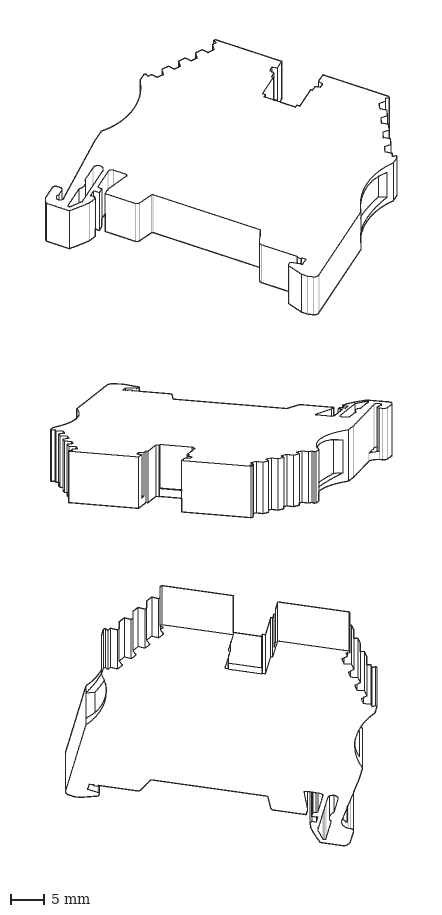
import cadquery as cq
import math

THICKNESS = 8.0
WEB_THICKNESS = 1.25
TOP_Y = 36.9

SHOULDER_HALF_WIDTH = 21.0
RIDGE_START = (14.35, 35.75)
RIDGE_SLOPE = math.radians(60)
TOOTH_COUNT = 4
TOOTH_PITCH = 3.1
TOOTH_DEPTH = 1.0
TOOTH_CREST = 1.2
TOOTH_FLANK = 0.4
END_CREST = 0.65
LIP_CORNER = (14.6, 36.6)
LIP_TOP_X = 14.35
SHOULDER_NICK = (20.75, 25.85)
SHOULDER_Y = 25.65

GRIP_X = 29.7
GRIP_Y = 18.5
GRIP_RADIUS = 10.45
POCKET_DEPTH = 0.97
POCKET_OPENING_X = 21.05
POCKET_OPENING_Y = (12.75, 23.45)
POCKET_FLOOR_Y = (13.1, 22.9)
POCKET_MID_MARGIN = 0.7
POCKET_END_MARGIN = 1.45

NOTCH_HALF_WIDTH = 3.4
NOTCH_STEP_Y = 33.3
NOTCH_LOWER_HALF_WIDTH = 3.1
NOTCH_SHELF_Y = 29.4
NOTCH_FLOOR_HALF_WIDTH = 2.6
NOTCH_WEB_Y = 29.25
NOTCH_FLOOR_Y = 28.9
GROOVE_BOTTOM_X = 4.2
GROOVE_MOUTH_Y = (34.15, 35.3)
GROOVE_BOTTOM_Y = (34.35, 35.15)

RECESS_Y = 2.85
RECESS_TOP_HALF_WIDTH = 8.97
RECESS_HALF_WIDTH = 10.08
RECESS_TOP_RADIUS = 0.2
RECESS_MOUTH_RADIUS = 0.57

PAD_X = (16.4, 17.1)
PAD_DROP = 0.18
HOOK_THROAT = (17.8, -1.15)
HOOK_TIP_X = 15.9
HOOK_TIP_TOP_Y = -1.55
HOOK_TIP_LOW_Y = -2.3
HOOK_TIP_RADIUS = 0.3
HOOK_BOTTOM_X = (18.6, 19.55)
HOOK_BOTTOM_Y = -3.2
HOOK_CORNER_Y = -2.8
HOOK_CORNER_RADIUS = 0.8

CLIP_LEFT_X = -23.2
CLIP_BOTTOM_Y = -5.6
LEG_TOP = (-21.65, 9.45)
LEG_FOOT = (-20.95, -0.25)
FINGER_TOP_Y = -1.65
FINGER_TIP_X = -22.2
FINGER_RADIUS = 0.57
WEB_ARC_MID = (-21.35, -1.15)
CLIP_CORNER_TOP_Y = -4.55
CLIP_CORNER_MID = (-23.0, -5.13)
CLIP_BOTTOM_X = (-22.55, -18.8)
RAMP_MID = (-17.6, -4.02)
RAMP_KNEE = (-16.75, -2.8)
RAMP_TOP = (-16.35, -1.55)
BARB_TOP = (-16.6, -1.3)
ARM_X = -17.3
RAIL_SLOT_TOP_Y = -0.18
STOP_X = -16.35
STOP_TOP = (-16.8, 0.75)
GAP_LEFT = (-17.05, 0.97)
GAP_TOP_Y = 5.1
GAP_LEFT_RADIUS = 0.57
GAP_RIGHT_X = -14.05
GAP_RIGHT_RADIUS = 0.2
LEFT_FOOT = (-15.45, 1.05)

WINDOW_X = (-19.45, -17.85)
WINDOW_TOP_Y = 5.1
WINDOW_BOTTOM_Y = -4.8
WINDOW_BOTTOM_X = -19.05
WINDOW_RAMP_Y = -2.95
WINDOW_BUMP_Y = (-0.75, 1.4)
WINDOW_BUMP_DEPTH = 0.45
WINDOW_CORNER_RADIUS = 0.18

FINGER_SLOT_LEFT_X = -21.65
FINGER_SLOT_TIP_RADIUS = 0.45
BULB_CENTER = (-21.25, -3.6)
BULB_RADIUS = 0.57


def mirrored(points):
    """Reflect points across X = 0."""
    return [(-x, y) for x, y in points]


def shoulder_points():
    """Right shoulder, from the top edge down to the shoulder side."""
    along = (math.cos(RIDGE_SLOPE), -math.sin(RIDGE_SLOPE))
    outward = (math.sin(RIDGE_SLOPE), math.cos(RIDGE_SLOPE))

    def on_slope(run, rise):
        return tuple(RIDGE_START[i] + run * along[i] + rise * outward[i] for i in range(2))

    points = [(LIP_TOP_X, TOP_Y), LIP_CORNER, on_slope(-END_CREST, 0)]
    for tooth in range(TOOTH_COUNT):
        start = tooth * TOOTH_PITCH
        next_crest = start + TOOTH_PITCH - TOOTH_CREST
        points += [
            on_slope(start, 0),
            on_slope(start + TOOTH_FLANK, -TOOTH_DEPTH),
            on_slope(next_crest - TOOTH_FLANK, -TOOTH_DEPTH),
            on_slope(next_crest, 0),
        ]
    points += [
        on_slope(next_crest + END_CREST, 0),
        SHOULDER_NICK,
        (SHOULDER_HALF_WIDTH, SHOULDER_Y),
    ]
    return points


def notch_points():
    """Right half of the top notch, from its floor up to the top edge."""
    return [
        (NOTCH_FLOOR_HALF_WIDTH, NOTCH_WEB_Y),
        (NOTCH_FLOOR_HALF_WIDTH, NOTCH_SHELF_Y),
        (NOTCH_LOWER_HALF_WIDTH, NOTCH_SHELF_Y),
        (NOTCH_LOWER_HALF_WIDTH, NOTCH_STEP_Y),
        (NOTCH_HALF_WIDTH, NOTCH_STEP_Y),
        (NOTCH_HALF_WIDTH, TOP_Y),
    ]


def right_foot_points():
    """Right rail foot and fixed hook, from the rail recess to the right side."""
    return [
        (RECESS_TOP_HALF_WIDTH, RECESS_Y),
        (RECESS_HALF_WIDTH, 0),
        (PAD_X[0], 0),
        (PAD_X[0], -PAD_DROP),
        (PAD_X[1], -PAD_DROP),
        (PAD_X[1], 0),
        (HOOK_THROAT[0], 0),
        HOOK_THROAT,
        (HOOK_TIP_X, HOOK_TIP_TOP_Y),
        (HOOK_TIP_X, HOOK_TIP_LOW_Y),
        (HOOK_BOTTOM_X[0], HOOK_BOTTOM_Y),
        (HOOK_BOTTOM_X[1], HOOK_BOTTOM_Y),
        (SHOULDER_HALF_WIDTH, HOOK_CORNER_Y),
    ]


def clip_inner_points():
    """Inner side of the clip and the left rail foot, from the barb to the rail recess."""
    return [
        BARB_TOP,
        (ARM_X, BARB_TOP[1]),
        (ARM_X, RAIL_SLOT_TOP_Y),
        (STOP_X, RAIL_SLOT_TOP_Y),
        (STOP_X, STOP_TOP[1]),
        STOP_TOP,
        GAP_LEFT,
        (GAP_LEFT[0], GAP_TOP_Y),
        (GAP_RIGHT_X, GAP_TOP_Y),
        LEFT_FOOT,
        (LEFT_FOOT[0], 0),
        (-RECESS_HALF_WIDTH, 0),
        (-RECESS_TOP_HALF_WIDTH, RECESS_Y),
    ]


def grip_y(half_width, side):
    """Height where the grip arc meets a vertical side; side is +1 above, -1 below."""
    return GRIP_Y + side * math.sqrt(GRIP_RADIUS**2 - (GRIP_X - half_width) ** 2)


def make_plate():
    """Full-thickness outline, before rounding, without its partial-depth cuts."""
    grip_mid_x = GRIP_X - GRIP_RADIUS
    shoulder = shoulder_points()
    notch = notch_points()
    return (
        cq.Workplane("XY")
        .polyline(right_foot_points())
        .lineTo(SHOULDER_HALF_WIDTH, grip_y(SHOULDER_HALF_WIDTH, -1))
        .threePointArc((grip_mid_x, GRIP_Y), (SHOULDER_HALF_WIDTH, grip_y(SHOULDER_HALF_WIDTH, 1)))
        .polyline(shoulder[::-1], includeCurrent=True)
        .polyline(notch[::-1], includeCurrent=True)
        .polyline(mirrored(notch), includeCurrent=True)
        .polyline(mirrored(shoulder), includeCurrent=True)
        .lineTo(-SHOULDER_HALF_WIDTH, grip_y(SHOULDER_HALF_WIDTH, 1))
        .threePointArc((-grip_mid_x, GRIP_Y), (LEG_TOP[0], grip_y(-LEG_TOP[0], -1)))
        .lineTo(*LEG_TOP)
        .lineTo(*LEG_FOOT)
        .threePointArc(WEB_ARC_MID, (FINGER_TIP_X, FINGER_TOP_Y))
        .lineTo(CLIP_LEFT_X, FINGER_TOP_Y)
        .lineTo(CLIP_LEFT_X, CLIP_CORNER_TOP_Y)
        .threePointArc(CLIP_CORNER_MID, (CLIP_BOTTOM_X[0], CLIP_BOTTOM_Y))
        .lineTo(CLIP_BOTTOM_X[1], CLIP_BOTTOM_Y)
        .threePointArc(RAMP_MID, RAMP_KNEE)
        .lineTo(*RAMP_TOP)
        .polyline(clip_inner_points(), includeCurrent=True)
        .close()
        .extrude(THICKNESS)
    )


def round_corner(body, x, y, radius):
    """Round the upright edge of the body that stands at (x, y)."""
    nearest = cq.selectors.NearestToPointSelector((x, y, THICKNESS / 2))
    return body.edges("|Z").edges(nearest).fillet(radius)


def make_window():
    """Through window: round top, sloped lower right side and a bump on the left."""
    left, right = WINDOW_X
    radius = (right - left) / 2
    bump_low, bump_high = WINDOW_BUMP_Y
    window = (
        cq.Workplane("XY")
        .moveTo(left, WINDOW_BOTTOM_Y)
        .lineTo(WINDOW_BOTTOM_X, WINDOW_BOTTOM_Y)
        .lineTo(right, WINDOW_RAMP_Y)
        .lineTo(right, WINDOW_TOP_Y - radius)
        .threePointArc((left + radius, WINDOW_TOP_Y), (left, WINDOW_TOP_Y - radius))
        .lineTo(left, bump_high)
        .threePointArc((left + WINDOW_BUMP_DEPTH, (bump_low + bump_high) / 2), (left, bump_low))
        .close()
        .extrude(THICKNESS)
    )
    for x in (left, WINDOW_BOTTOM_X):
        window = round_corner(window, x, WINDOW_BOTTOM_Y, WINDOW_CORNER_RADIUS)
    return window


def upper_cut(sketch):
    """Extrude a cutter from the web up through the top face."""
    return sketch.extrude(THICKNESS - WEB_THICKNESS)


def above_web():
    """Sketch plane on the upper face of the web."""
    return cq.Workplane("XY").workplane(offset=WEB_THICKNESS)


def make_finger_slot():
    """Keyhole slot whose right side continues the straight leg line."""
    leg_slope = (LEG_FOOT[0] - LEG_TOP[0]) / (LEG_FOOT[1] - LEG_TOP[1])
    leg_x_at_bulb = LEG_FOOT[0] + leg_slope * (BULB_CENTER[1] - LEG_FOOT[1])
    slot = upper_cut(
        above_web()
        .moveTo(FINGER_SLOT_LEFT_X, BULB_CENTER[1])
        .lineTo(FINGER_SLOT_LEFT_X, FINGER_TOP_Y - FINGER_SLOT_TIP_RADIUS)
        .radiusArc((FINGER_SLOT_LEFT_X - FINGER_SLOT_TIP_RADIUS, FINGER_TOP_Y), -FINGER_SLOT_TIP_RADIUS)
        .lineTo(FINGER_TIP_X, LEG_FOOT[1])
        .lineTo(*LEG_FOOT)
        .lineTo(leg_x_at_bulb, BULB_CENTER[1])
        .close()
    )
    return slot.union(upper_cut(above_web().center(*BULB_CENTER).circle(BULB_RADIUS)))


def make_notch_cuts():
    """Deeper notch floor and the two wall grooves, all stopping at the web."""
    floor_depth = NOTCH_SHELF_Y - NOTCH_FLOOR_Y
    cuts = upper_cut(
        above_web()
        .center(0, NOTCH_FLOOR_Y + floor_depth / 2)
        .rect(2 * NOTCH_FLOOR_HALF_WIDTH, floor_depth)
    )
    groove = [
        (NOTCH_HALF_WIDTH, GROOVE_MOUTH_Y[0]),
        (GROOVE_BOTTOM_X, GROOVE_BOTTOM_Y[0]),
        (GROOVE_BOTTOM_X, GROOVE_BOTTOM_Y[1]),
        (NOTCH_HALF_WIDTH, GROOVE_MOUTH_Y[1]),
    ]
    for points in (groove, mirrored(groove)):
        cuts = cuts.union(upper_cut(above_web().polyline(points).close()))
    return cuts


def make_grip_pocket():
    """Right grip pocket: curved floor, tapered ends and bowed upper and lower walls."""
    floor_radius = GRIP_RADIUS + POCKET_DEPTH
    floor_low, floor_high = [
        (GRIP_X - math.sqrt(floor_radius**2 - (y - GRIP_Y) ** 2), y) for y in POCKET_FLOOR_Y
    ]
    low_y, high_y = POCKET_OPENING_Y
    plan = (
        cq.Workplane("XY")
        .moveTo(*floor_low)
        .threePointArc((GRIP_X - floor_radius, GRIP_Y), floor_high)
        .lineTo(POCKET_OPENING_X, high_y)
        .lineTo(POCKET_OPENING_X, low_y)
        .close()
        .extrude(THICKNESS)
    )
    mid_y = (low_y + high_y) / 2
    barrel = (
        cq.Workplane("YZ")
        .moveTo(low_y, POCKET_END_MARGIN)
        .threePointArc((mid_y, POCKET_MID_MARGIN), (high_y, POCKET_END_MARGIN))
        .lineTo(high_y, THICKNESS - POCKET_END_MARGIN)
        .threePointArc(
            (mid_y, THICKNESS - POCKET_MID_MARGIN),
            (low_y, THICKNESS - POCKET_END_MARGIN),
        )
        .close()
        .extrude(POCKET_OPENING_X)
    )
    return plan.intersect(barrel)


housing = make_plate()
for side in (-1, 1):
    housing = round_corner(housing, side * RECESS_TOP_HALF_WIDTH, RECESS_Y, RECESS_TOP_RADIUS)
    housing = round_corner(housing, side * RECESS_HALF_WIDTH, 0, RECESS_MOUTH_RADIUS)
for corner_x, corner_y, corner_radius in (
    (HOOK_TIP_X, HOOK_TIP_TOP_Y, HOOK_TIP_RADIUS),
    (HOOK_TIP_X, HOOK_TIP_LOW_Y, HOOK_TIP_RADIUS),
    (SHOULDER_HALF_WIDTH, HOOK_CORNER_Y, HOOK_CORNER_RADIUS),
    (CLIP_LEFT_X, FINGER_TOP_Y, FINGER_RADIUS),
    (GAP_LEFT[0], GAP_TOP_Y, GAP_LEFT_RADIUS),
    (GAP_RIGHT_X, GAP_TOP_Y, GAP_RIGHT_RADIUS),
):
    housing = round_corner(housing, corner_x, corner_y, corner_radius)

pocket = make_grip_pocket()
result = (
    housing.cut(make_window())
    .cut(make_finger_slot())
    .cut(make_notch_cuts())
    .cut(pocket)
    .cut(pocket.mirror("YZ"))
)